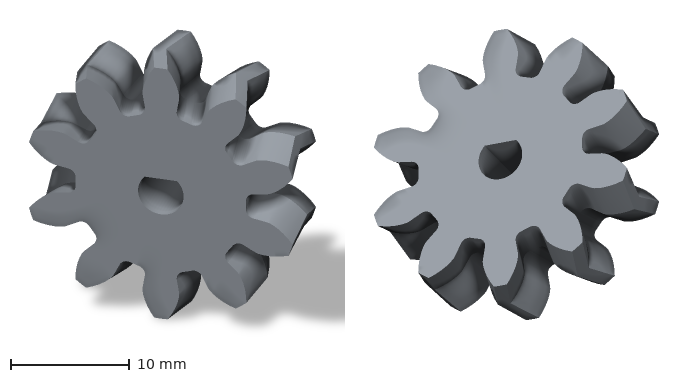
import cadquery as cq
import math

teeth = 10
module = 2.0
pressure_angle = math.radians(20)
helix_angle = math.radians(15)
face_width = 7.0
dedendum_factor = 1.25
root_fillet = 0.75
bore_radius = 2.0
bore_flat_height = 1.4

half_width = face_width / 2
pitch_radius = module * teeth / 2
tip_radius = pitch_radius + module
blank_allowance = 0.2
blank_radius = tip_radius + blank_allowance
root_radius = pitch_radius - dedendum_factor * module
base_radius = pitch_radius * math.cos(pressure_angle)
tooth_pitch = 2 * math.pi / teeth
twist_degrees = math.degrees(half_width * math.tan(helix_angle) / pitch_radius)

flank_steps = 12


def involute(angle):
    """Involute function: polar angle swept at the given pressure angle."""
    return math.tan(angle) - angle


base_half_angle = tooth_pitch / 4 + involute(pressure_angle)

fillet_centre_radius = root_radius + root_fillet
fillet_flank_radius = math.sqrt(fillet_centre_radius**2 - root_fillet**2)
fillet_half_angle = base_half_angle + math.asin(root_fillet / fillet_centre_radius)


def polar(radius, angle):
    """Point at a radius and an angle from the X axis."""
    return (radius * math.cos(angle), radius * math.sin(angle))


def flank_points(centre, side):
    """Flank points from fillet to blank, radial below the base circle and involute above.

    The side is -1 or +1 about the tooth centre.
    """
    points = []
    for step in range(flank_steps + 1):
        radius = fillet_flank_radius + (blank_radius - fillet_flank_radius) * step / flank_steps
        local_pressure_angle = math.acos(min(1, base_radius / radius))
        half_angle = base_half_angle - involute(local_pressure_angle)
        points.append(polar(radius, centre + side * half_angle))
    return points


def fillet_middle(centre, side):
    """Midpoint of the root fillet arc beside a tooth."""
    centre_x, centre_z = polar(fillet_centre_radius, centre + side * fillet_half_angle)
    start_x, start_z = polar(fillet_flank_radius, centre + side * base_half_angle)
    end_x, end_z = polar(root_radius, centre + side * fillet_half_angle)
    to_chord_x = (start_x + end_x) / 2 - centre_x
    to_chord_z = (start_z + end_z) / 2 - centre_z
    stretch = root_fillet / math.hypot(to_chord_x, to_chord_z)
    return (centre_x + to_chord_x * stretch, centre_z + to_chord_z * stretch)


def add_tooth(outline, centre):
    """Continue the outline over one tooth and along the root to the next."""
    rising = flank_points(centre, -1)
    falling = flank_points(centre, 1)[::-1]
    return (
        outline
        .threePointArc(fillet_middle(centre, -1), rising[0])
        .spline(rising[1:], includeCurrent=True)
        .threePointArc(polar(blank_radius, centre), falling[0])
        .spline(falling[1:], includeCurrent=True)
        .threePointArc(fillet_middle(centre, 1), polar(root_radius, centre + fillet_half_angle))
        .threePointArc(
            polar(root_radius, centre + tooth_pitch / 2),
            polar(root_radius, centre + tooth_pitch - fillet_half_angle),
        )
    )


def make_gear_half():
    """Helical half from the middle plane, where the teeth lead, to the -Y face."""
    first_centre = math.pi / 2 + math.radians(twist_degrees)
    outline = cq.Workplane("XZ").moveTo(*polar(root_radius, first_centre - fillet_half_angle))
    for index in range(teeth):
        outline = add_tooth(outline, first_centre + index * tooth_pitch)
    return outline.close().twistExtrude(half_width, -twist_degrees)


def make_tip_cylinder():
    """Cylinder that bounds all tooth tips over the full face width."""
    return cq.Workplane("XZ").circle(tip_radius).extrude(half_width, both=True)


def make_bore():
    """D-shaped through cutter with its flat on the +Z side."""
    flat_half_length = math.sqrt(bore_radius**2 - bore_flat_height**2)
    return (
        cq.Workplane("XZ")
        .moveTo(-flat_half_length, bore_flat_height)
        .threePointArc((0, -bore_radius), (flat_half_length, bore_flat_height))
        .close()
        .extrude(half_width, both=True)
    )


front_half = make_gear_half()
back_half = front_half.mirror("XZ")
gear_blank = front_half.union(back_half)
result = gear_blank.intersect(make_tip_cylinder()).cut(make_bore())